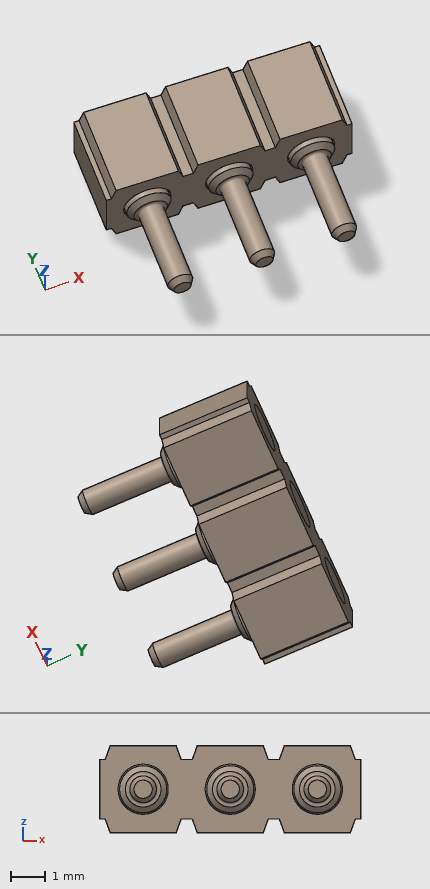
import cadquery as cq
import math

position_count = 3
length = 7.62
pitch = length / position_count
height = pitch
depth = 2.8
web_height = 1.74
notch_floor_width = 0.32
notch_mouth_width = 0.61
bore_radius = 0.73

pin_projection = 3.04
collar_radius = 0.685
collar_length = 0.14
taper_start_depth = 0.305
taper_length = 0.17
shoulder_radius = 0.52
shoulder_offset = 0.305
rod_radius = 0.39
neck_fillet = 0.07
tip_radius = 0.27
tip_chamfer_length = 0.2

front_y = 0.0
back_y = front_y + depth
pin_centers = [(i - (position_count - 1) / 2) * pitch for i in range(position_count)]
position_boundaries = [(i - position_count / 2) * pitch for i in range(position_count + 1)]


def make_notch(x, side):
    """Trapezoidal groove along Y, in the top (side = 1) or bottom (side = -1), centred on x."""
    return (
        cq.Workplane("XZ", origin=(x, front_y, 0))
        .moveTo(-notch_floor_width / 2, side * web_height / 2)
        .lineTo(notch_floor_width / 2, side * web_height / 2)
        .lineTo(notch_mouth_width / 2, side * height / 2)
        .lineTo(-notch_mouth_width / 2, side * height / 2)
        .close()
        .extrude(-depth)
    )


def make_pin(x):
    """One turned pin along Y: barrel in the bore, narrower collar, filleted rod and chamfered tip."""
    rod_start_y = front_y - shoulder_offset - neck_fillet
    tip_y = front_y - pin_projection
    neck_mid = neck_fillet * (1 - math.cos(math.radians(45)))
    return (
        cq.Workplane("XY")
        .moveTo(0, back_y)
        .lineTo(bore_radius, back_y)
        .lineTo(bore_radius, front_y + taper_start_depth + taper_length)
        .lineTo(collar_radius, front_y + taper_start_depth)
        .lineTo(collar_radius, front_y - collar_length)
        .lineTo(shoulder_radius, front_y - shoulder_offset)
        .lineTo(rod_radius + neck_fillet, front_y - shoulder_offset)
        .threePointArc(
            (rod_radius + neck_mid, front_y - shoulder_offset - neck_mid),
            (rod_radius, rod_start_y),
        )
        .lineTo(rod_radius, tip_y + tip_chamfer_length)
        .lineTo(tip_radius, tip_y)
        .lineTo(0, tip_y)
        .close()
        .revolve(360, (0, 0, 0), (0, 1, 0))
        .translate((x, 0, 0))
    )


def make_housing():
    """Block notched at every boundary between positions, with one through bore per pin."""
    block = cq.Workplane("XY").box(length, depth, height).translate((0, front_y + depth / 2, 0))
    for x in position_boundaries:
        for side in (1, -1):
            block = block.cut(make_notch(x, side))
    bores = (
        cq.Workplane("XZ", origin=(0, front_y, 0))
        .pushPoints([(x, 0) for x in pin_centers])
        .circle(bore_radius)
        .extrude(-depth)
    )
    return block.cut(bores)


housing = make_housing()
pins = [make_pin(x) for x in pin_centers]

result = cq.Compound.makeCompound([housing.val(), *[pin.val() for pin in pins]])